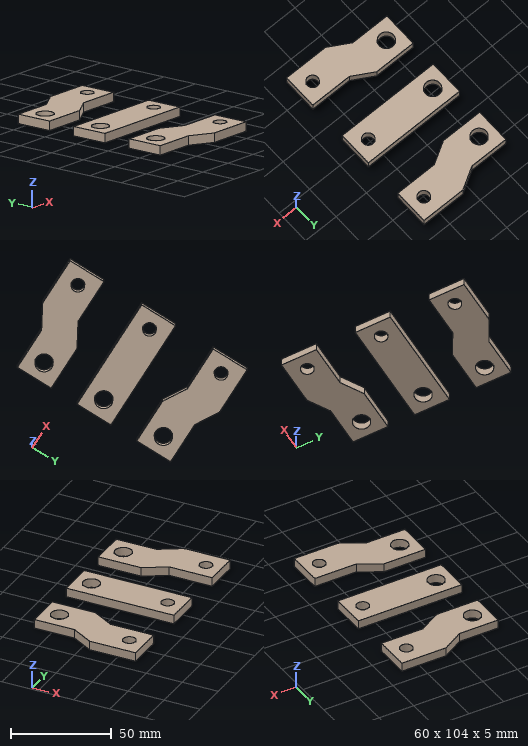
import cadquery as cq

total_span = 104.0
link_length = 60.0
link_width = 20.0
thickness = 5.0

crank_offset = 7.0
crank_run = 12.0
outer_bend_x = 22.5
inner_bend_x = 24.0

large_hole_diameter = 9.0
large_hole_x = 9.0
small_hole_diameter = 6.8
small_hole_end_margin = 8.5
small_hole_x = link_length - small_hole_end_margin

half_width = link_width / 2
link_pitch = total_span / 2 - half_width - crank_offset


def drill_holes(link, small_hole_y):
    """Cut the large hole on the link axis and the small hole at the far end."""
    for x, y, diameter in (
        (large_hole_x, 0, large_hole_diameter),
        (small_hole_x, small_hole_y, small_hole_diameter),
    ):
        drill = cq.Workplane("XY").center(x, y).circle(diameter / 2).extrude(thickness)
        link = link.cut(drill)
    return link


def make_straight_link():
    """Flat rectangular link centred on the X axis."""
    plate = cq.Workplane("XY").box(link_length, link_width, thickness, centered=(False, True, False))
    return drill_holes(plate, 0)


def make_cranked_link(side):
    """Flat link whose far end steps away from the middle link; side is +1 or -1 along Y."""
    outer_y = side * half_width
    inner_y = -outer_y
    step = side * crank_offset
    plate = (
        cq.Workplane("XY")
        .polyline([
            (0, inner_y),
            (inner_bend_x, inner_y),
            (inner_bend_x + crank_run, inner_y + step),
            (link_length, inner_y + step),
            (link_length, outer_y + step),
            (outer_bend_x + crank_run, outer_y + step),
            (outer_bend_x, outer_y),
            (0, outer_y),
        ])
        .close()
        .extrude(thickness)
    )
    return drill_holes(plate, step).translate((0, side * link_pitch, 0))


straight_link = make_straight_link()
cranked_links = [make_cranked_link(side) for side in (1, -1)]

result = cq.Compound.makeCompound([straight_link.val(), *[link.val() for link in cranked_links]])